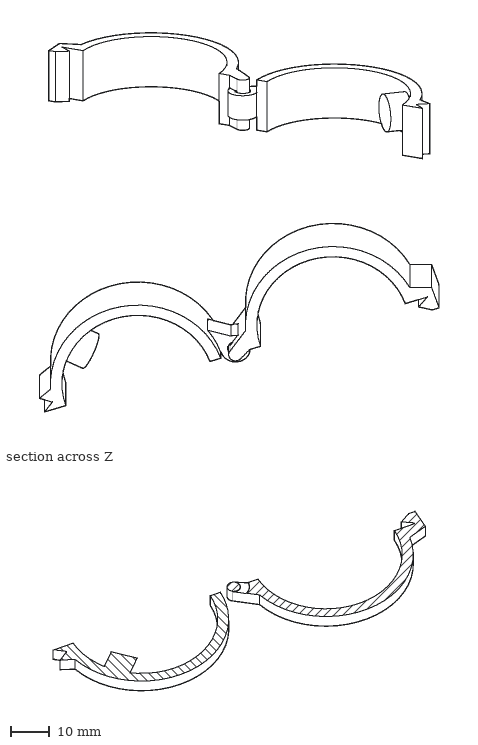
import cadquery as cq
import math

overall_length = 105.8
width = 13.7
ring_outer_radius = 22.5
ring_wall = 3.0
ring_inner_radius = ring_outer_radius - ring_wall
ring_offset = 26.4
hinge_side_relief = 0.2

pin_radius = 3.5 / 2
bore_radius = 4.0 / 2
barrel_radius = 3.8
barrel_length = 6.7
slot_radial_clearance = 0.2
slot_end_clearance = 0.1
arm_root_height = 5.7
web_root_height = 7.3

hook_back_x = -53.9
hook_bottom = -3.9
hook_notch_x = -52.0
hook_tip_x = -49.0
hook_tip_y = hook_bottom / 2
hook_shoulder_y = 2.2
hook_root_height = 4.0

catch_tip_x = overall_length + hook_back_x
catch_tip_y = 4.1
catch_notch_x = -hook_tip_x
catch_notch_y = catch_tip_y / 2
catch_root_height = 5.7

pad_diameter = 9.8
pad_angle = 45.0
pad_face_distance = 13.6


def extrude_centred(sketch, length):
    return sketch.extrude(length).translate((0, 0, -length / 2))


def prism(points, length):
    return extrude_centred(cq.Workplane("XY").polyline(points).close(), length)


def disc(radius, length, x=0):
    return extrude_centred(cq.Workplane("XY").center(x, 0).circle(radius), length)


def half_width_at(height, radius=ring_outer_radius):
    """Distance from the ring axis, along X, of a circle at a given height Y."""
    return math.sqrt(radius**2 - height**2)


def half_ring(center_x):
    """Half ring above Y = 0, with its end beside the hinge relieved."""
    reach = 2 * ring_outer_radius
    ring = disc(ring_outer_radius, width, center_x).cut(disc(ring_inner_radius, width, center_x))
    ring = ring.intersect(cq.Workplane("XY").box(reach, reach, width).translate((center_x, reach / 2, 0)))
    relief = cq.Workplane("XY").box(2 * ring_offset, 2 * hinge_side_relief, width)
    return ring.cut(relief)


def hook():
    mid_wall_x = -ring_offset - ring_inner_radius - ring_wall / 2
    return prism([
        (hook_back_x, hook_bottom),
        (hook_back_x, hook_shoulder_y),
        (-ring_offset - half_width_at(hook_root_height), hook_root_height),
        (mid_wall_x, hook_root_height),
        (mid_wall_x, 0),
        (hook_notch_x, 0),
        (hook_tip_x, hook_tip_y),
        (hook_notch_x, hook_bottom),
    ], width)


def catch():
    mid_wall_x = ring_offset + ring_inner_radius + ring_wall / 2
    return prism([
        (mid_wall_x, 0),
        (catch_tip_x, 0),
        (catch_notch_x, catch_notch_y),
        (catch_tip_x, catch_tip_y),
        (ring_offset + half_width_at(catch_root_height), catch_root_height),
        (mid_wall_x, catch_root_height),
    ], width)


def pin_tangent_point(x, y, side):
    """Point where a line from (x, y) touches the pin circle; side is +1 or -1."""
    angle = math.atan2(y, x) + side * math.acos(pin_radius / math.hypot(x, y))
    return (pin_radius * math.cos(angle), pin_radius * math.sin(angle))


def hinge_arm():
    """Arm tapering to a round end of the pin's size."""
    upper_root = (-ring_offset + half_width_at(arm_root_height), arm_root_height)
    lower_root = (-ring_offset + ring_outer_radius, hinge_side_relief)
    mid_wall_x = -ring_offset + ring_inner_radius + ring_wall / 2
    outline = (
        cq.Workplane("XY")
        .moveTo(mid_wall_x, hinge_side_relief)
        .lineTo(*lower_root)
        .lineTo(*pin_tangent_point(*lower_root, 1))
        .threePointArc((pin_radius, 0), pin_tangent_point(*upper_root, -1))
        .lineTo(*upper_root)
        .close()
    )
    return extrude_centred(outline, width)


def make_hook_half():
    body = half_ring(-ring_offset).union(hook()).union(hinge_arm())
    slot_length = barrel_length + 2 * slot_end_clearance
    slot = disc(barrel_radius + slot_radial_clearance, slot_length)
    return body.cut(slot.cut(disc(pin_radius, slot_length)))


def hinge_barrel():
    """Bored barrel and the web that ties it to the ring."""
    wall_x = ring_offset - ring_outer_radius
    web = prism([
        (0, 0),
        (wall_x, hinge_side_relief),
        (ring_offset - half_width_at(web_root_height), web_root_height),
        (0, barrel_radius),
    ], barrel_length)
    return disc(barrel_radius, barrel_length).union(web).cut(disc(bore_radius, barrel_length))


def pad():
    """Round pad on the ring's inner wall, rooted inside the wall."""
    direction = cq.Vector(math.cos(math.radians(pad_angle)), math.sin(math.radians(pad_angle)), 0)
    face_center = cq.Vector(ring_offset, 0, 0) + direction * pad_face_distance
    pad_length = ring_inner_radius + ring_wall / 2 - pad_face_distance
    return cq.Workplane(cq.Solid.makeCylinder(pad_diameter / 2, pad_length, face_center, direction))


def make_catch_half():
    return half_ring(ring_offset).union(catch()).union(hinge_barrel()).union(pad())


hook_half = make_hook_half()
catch_half = make_catch_half()

result = cq.Compound.makeCompound([*hook_half.solids().vals(), *catch_half.solids().vals()])